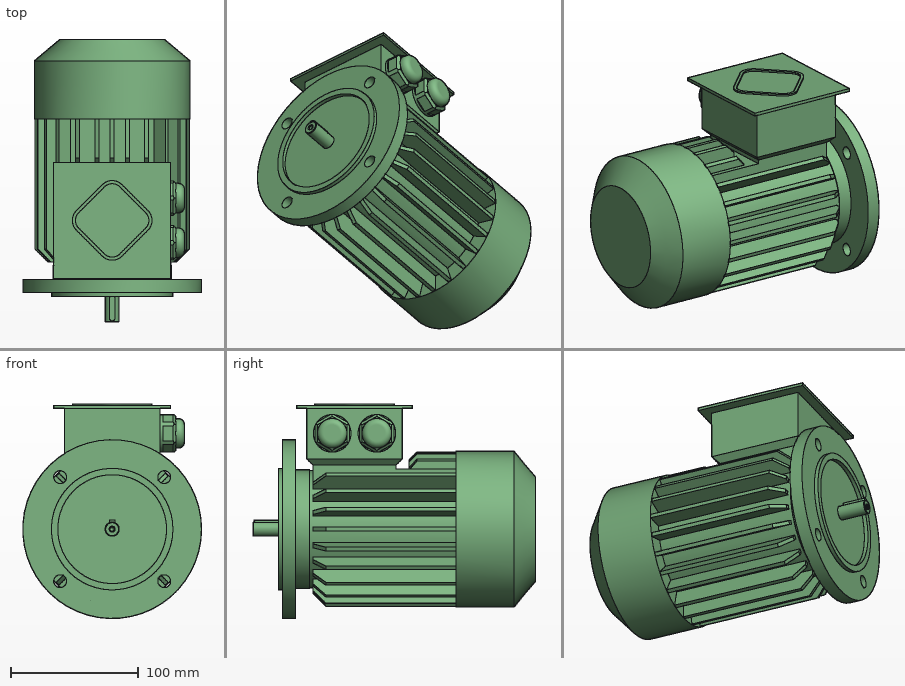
import cadquery as cq
import math


SHAFT_DIA = 11.0
SHAFT_TIP_Y = -23.0
SHAFT_CHAMFER = 0.5
KEY_WIDTH = 4.5
KEY_TOP_Z = 7.0
KEY_LENGTH = 20.0
KEY_TIP_GAP = 0.9
CENTER_HOLE_DIA = 3.3
CENTER_SINK_DIA = 4.6
CENTER_HOLE_DEPTH = 4.5

FLANGE_DIA = 140.0
FLANGE_THICK = 10.4
SPIGOT_DIA = 95.0
SPIGOT_BORE_DIA = 85.0
SPIGOT_HEIGHT = 3.0
BOLT_HOLE_DIA = 10.0
BOLT_CIRCLE_DIA = 115.0
BOLT_COUNT = 4

NECK_DIA = 93.0
NECK_END_Y = 21.2
CORE_DIA = 92.0
COVER_DIA = 122.0
COVER_END_DIA = 81.8
COVER_FRONT_Y = 136.0
COVER_BEND_Y = 181.2
COVER_END_Y = 198.0

FIN_THICK = 3.0
FIN_TIP_RADIUS = 60.3
FIN_FRONT_Y = 23.9
FIN_CHAMFER = 10.2
FIN_PITCH_DEG = 15
FIN_COUNT = 19
FIN_FIRST_DEG = 45
TOP_FIN_OFFSETS = (-27.0, -12.0, 0, 12.0, 27.0)
TOP_FIN_FRONT_Y = 99.0
TOP_FIN_CHAMFER = 6.2

PEDESTAL_WIDTH = 65.2
PEDESTAL_TOP_Z = 47.0
BOX_WIDTH = 75.0
BOX_CENTER_Y = FIN_FRONT_Y + PEDESTAL_WIDTH / 2
BOX_TAPER_BOTTOM_Z = 50.2
BOX_TAPER_TOP_Z = BOX_TAPER_BOTTOM_Z + (BOX_WIDTH - PEDESTAL_WIDTH) / 2
LID_LENGTH_X = 91.5
LID_LENGTH_Y = 90.5
LID_BOTTOM_Z = 94.4
LID_THICK = 2.5
LID_TOP_Z = LID_BOTTOM_Z + LID_THICK

FRAME_WIDTH = 50.4
FRAME_CORNER_RADIUS = 10.8
FRAME_RIM = 2.5
FRAME_HEIGHT = 1.22

GLAND_SPACING = 35.0
GLAND_Z = 75.0
GLAND_DIA = 29.5
GLAND_FLATS = 27.0
GLAND_FLAT_COUNT = 6
GLAND_FLAT_START_X = 39.5
GLAND_FLAT_END_X = 47.7
GLAND_BODY_END_X = 49.7
GLAND_TAPER_DEG = 45
GLAND_CAP_DIA = 23.2
GLAND_CAP_END_X = 56.5
GLAND_CAP_FILLET = 4.9


def disc(diameter, y_start, y_end):
    """Cylinder about the shaft axis between two Y positions."""
    return (
        cq.Workplane("XZ", origin=(0, y_start, 0))
        .circle(diameter / 2)
        .extrude(y_start - y_end)
    )


def block(size_x, y_start, y_end, z_start, z_end, center_x=0):
    """Box centred in X between given Y and Z limits."""
    return cq.Workplane("XY").box(
        size_x, y_end - y_start, z_end - z_start, centered=(True, False, False)
    ).translate((center_x, y_start, z_start))


def make_flange():
    flange = disc(FLANGE_DIA, 0, FLANGE_THICK)
    spigot = disc(SPIGOT_DIA, -SPIGOT_HEIGHT, 0).cut(disc(SPIGOT_BORE_DIA, -SPIGOT_HEIGHT, 0))
    bolt_holes = (
        cq.Workplane("XZ")
        .polarArray(BOLT_CIRCLE_DIA / 2, 180 / BOLT_COUNT, 360, BOLT_COUNT)
        .circle(BOLT_HOLE_DIA / 2)
        .extrude(-FLANGE_THICK)
    )
    return flange.cut(bolt_holes).union(spigot)


def make_shaft():
    shaft = disc(SHAFT_DIA, SHAFT_TIP_Y, FLANGE_THICK).faces("<Y").chamfer(SHAFT_CHAMFER)
    key_tip_y = SHAFT_TIP_Y + KEY_TIP_GAP
    key = (
        cq.Workplane("XY", origin=(0, key_tip_y + KEY_LENGTH / 2, 0))
        .slot2D(KEY_LENGTH, KEY_WIDTH, 90)
        .extrude(KEY_TOP_Z)
    )
    sink_depth = (CENTER_SINK_DIA - CENTER_HOLE_DIA) / 2
    point_y = SHAFT_TIP_Y + CENTER_HOLE_DEPTH
    center_hole = (
        cq.Workplane("XY")
        .moveTo(0, SHAFT_TIP_Y)
        .lineTo(CENTER_SINK_DIA / 2, SHAFT_TIP_Y)
        .lineTo(CENTER_HOLE_DIA / 2, SHAFT_TIP_Y + sink_depth)
        .lineTo(CENTER_HOLE_DIA / 2, point_y - CENTER_HOLE_DIA / 2)
        .lineTo(0, point_y)
        .close()
        .revolve(360, (0, 0, 0), (0, 1, 0))
    )
    return shaft.union(key).cut(center_hole)


def make_housing():
    """Neck, core and fan cover as one turned body."""
    return (
        cq.Workplane("XY")
        .moveTo(0, 0)
        .lineTo(NECK_DIA / 2, 0)
        .lineTo(NECK_DIA / 2, NECK_END_Y)
        .lineTo(CORE_DIA / 2, NECK_END_Y)
        .lineTo(CORE_DIA / 2, COVER_FRONT_Y)
        .lineTo(COVER_DIA / 2, COVER_FRONT_Y)
        .lineTo(COVER_DIA / 2, COVER_BEND_Y)
        .lineTo(COVER_END_DIA / 2, COVER_END_Y)
        .lineTo(0, COVER_END_Y)
        .close()
        .revolve(360, (0, 0, 0), (0, 1, 0))
    )


def fin_envelope(front_y, chamfer):
    """Cylinder through the fin tips, chamfered at its front end."""
    return disc(2 * FIN_TIP_RADIUS, front_y, COVER_FRONT_Y).faces("<Y").chamfer(chamfer)


def make_side_fins():
    """Radial fins all round the core except below the terminal box."""
    root_radius = CORE_DIA / 2 - FIN_THICK
    fin = block(FIN_THICK, FIN_FRONT_Y, COVER_FRONT_Y, root_radius, FIN_TIP_RADIUS)
    fin = fin.intersect(fin_envelope(FIN_FRONT_Y, FIN_CHAMFER))
    fins = cq.Workplane("XY")
    for index in range(FIN_COUNT):
        angle = FIN_FIRST_DEG + index * FIN_PITCH_DEG
        fins = fins.add(fin.rotate((0, 0, 0), (0, 1, 0), angle))
    return fins.combine()


def make_top_fins():
    """Upright fins on the pedestal, between the terminal box and the fan cover."""
    fins = cq.Workplane("XY")
    for offset in TOP_FIN_OFFSETS:
        fins = fins.add(block(FIN_THICK, TOP_FIN_FRONT_Y, COVER_FRONT_Y, 0, FIN_TIP_RADIUS, offset))
    return fins.combine().intersect(fin_envelope(TOP_FIN_FRONT_Y, TOP_FIN_CHAMFER))


def make_terminal_box():
    pedestal = block(PEDESTAL_WIDTH, FIN_FRONT_Y, COVER_FRONT_Y, 0, PEDESTAL_TOP_Z)
    foot = block(PEDESTAL_WIDTH, FIN_FRONT_Y, FIN_FRONT_Y + PEDESTAL_WIDTH, 0, BOX_TAPER_BOTTOM_Z)
    taper = (
        cq.Workplane("XY", origin=(0, BOX_CENTER_Y, BOX_TAPER_BOTTOM_Z))
        .rect(PEDESTAL_WIDTH, PEDESTAL_WIDTH)
        .workplane(offset=BOX_TAPER_TOP_Z - BOX_TAPER_BOTTOM_Z)
        .rect(BOX_WIDTH, BOX_WIDTH)
        .loft(ruled=True)
    )
    walls = (
        cq.Workplane("XY", origin=(0, BOX_CENTER_Y, BOX_TAPER_TOP_Z))
        .rect(BOX_WIDTH, BOX_WIDTH)
        .extrude(LID_BOTTOM_Z - BOX_TAPER_TOP_Z)
    )
    lid = (
        cq.Workplane("XY", origin=(0, BOX_CENTER_Y, LID_BOTTOM_Z))
        .rect(LID_LENGTH_X, LID_LENGTH_Y)
        .extrude(LID_THICK)
    )
    return pedestal.union(foot).union(taper).union(walls).union(lid)


def rounded_square(width, corner_radius):
    """Square plate on the lid with rounded corners pointing along X and Y."""
    plate = cq.Workplane("XY").rect(width, width).extrude(FRAME_HEIGHT)
    plate = plate.edges("|Z").fillet(corner_radius).rotate((0, 0, 0), (0, 0, 1), 45)
    return plate.translate((0, BOX_CENTER_Y, LID_TOP_Z))


def make_lid_frame():
    outer = rounded_square(FRAME_WIDTH, FRAME_CORNER_RADIUS)
    inner = rounded_square(FRAME_WIDTH - 2 * FRAME_RIM, FRAME_CORNER_RADIUS - FRAME_RIM)
    return outer.cut(inner)


def hexagon_sketch(x, center_y):
    """Hexagon of a gland nut in the plane at x, with flats facing +Y and -Y."""
    corner_dia = GLAND_FLATS / math.cos(math.pi / GLAND_FLAT_COUNT)
    return (
        cq.Workplane("YZ", origin=(x, center_y, GLAND_Z))
        .transformed(rotate=(0, 0, 180 / GLAND_FLAT_COUNT))
        .polygon(GLAND_FLAT_COUNT, corner_dia)
    )


def make_gland(center_y):
    base_x = BOX_WIDTH / 2
    body = (
        cq.Workplane("YZ", origin=(base_x, center_y, GLAND_Z))
        .circle(GLAND_DIA / 2)
        .extrude(GLAND_BODY_END_X - base_x)
    )
    collar_limit = (
        cq.Workplane("YZ", origin=(base_x, center_y, GLAND_Z))
        .circle(GLAND_DIA)
        .extrude(GLAND_FLAT_START_X - base_x)
    )
    hexagon_limit = (
        hexagon_sketch(GLAND_FLAT_START_X, center_y)
        .extrude(GLAND_FLAT_END_X - GLAND_FLAT_START_X)
    )
    taper_limit = (
        hexagon_sketch(GLAND_FLAT_END_X, center_y)
        .extrude(GLAND_BODY_END_X - GLAND_FLAT_END_X, taper=GLAND_TAPER_DEG)
    )
    nut = body.intersect(collar_limit.union(hexagon_limit).union(taper_limit))
    cap = (
        cq.Workplane("YZ", origin=(base_x, center_y, GLAND_Z))
        .circle(GLAND_CAP_DIA / 2)
        .extrude(GLAND_CAP_END_X - base_x)
        .faces(">X")
        .edges()
        .fillet(GLAND_CAP_FILLET)
    )
    return nut.union(cap)


result = (
    make_housing()
    .union(make_flange())
    .union(make_shaft())
    .union(make_terminal_box())
    .union(make_side_fins())
    .union(make_top_fins())
    .union(make_lid_frame())
)
for side in (-1, 1):
    result = result.union(make_gland(BOX_CENTER_Y + side * GLAND_SPACING / 2))